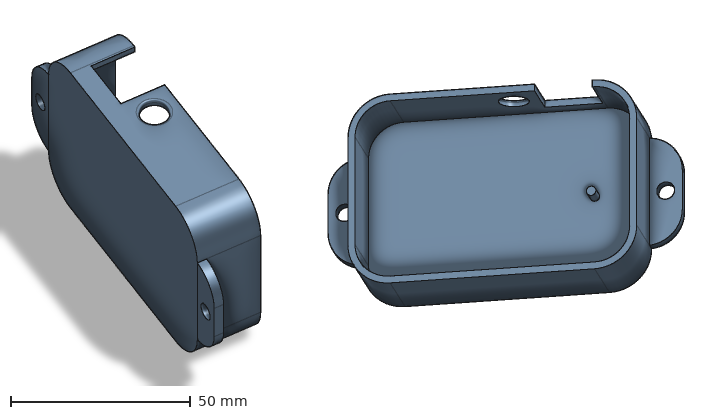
import cadquery as cq

TOTAL_LENGTH = 100.8
HOUSING_LENGTH = 82.1
HOUSING_HEIGHT = 55.7
HOUSING_DEPTH = 20.5
CORNER_RADIUS = 12.0
WALL = 2.0
FLOOR = 2.0

NOTCH_LEFT = -28.4
NOTCH_WIDTH = 16.4
NOTCH_FLOOR_Y = 6.3

PORT_X = -4.5
PORT_Y = 12.8
PORT_DIAMETER = 8.6
PORT_RIM_RADIUS = 0.8

POST_X = -25.3
POST_Z = 0.0
POST_DIAMETER = 2.7
POST_TOP_Y = 7.1

EAR_HEIGHT = 31.6
EAR_THICKNESS = 3.0
EAR_RADIUS = 10.0
EAR_HOLE_DIAMETER = 5.0
EAR_HOLE_INSET = 4.7


def block_along_y(length, height, start_y, end_y, radius):
    """Block centred on the Y axis, with its four edges along Y rounded."""
    block = cq.Workplane("XY").box(length, end_y - start_y, height)
    return block.edges("|Y").fillet(radius).translate((0, (start_y + end_y) / 2, 0))


def cylinder_along_y(x, z, diameter, start_y, end_y):
    solid = cq.Solid.makeCylinder(
        diameter / 2, end_y - start_y, cq.Vector(x, start_y, z), cq.Vector(0, 1, 0)
    )
    return cq.Workplane(solid)


def notch_cutter():
    depth = HOUSING_DEPTH - NOTCH_FLOOR_Y
    return cq.Workplane("XY").box(NOTCH_WIDTH, depth, WALL, centered=False).translate(
        (NOTCH_LEFT, NOTCH_FLOOR_Y, HOUSING_HEIGHT / 2 - WALL)
    )


def add_port(housing):
    """Drill the round port down through the top wall and round its outer rim."""
    bore = cq.Solid.makeCylinder(
        PORT_DIAMETER / 2, WALL, cq.Vector(PORT_X, PORT_Y, HOUSING_HEIGHT / 2), cq.Vector(0, 0, -1)
    )
    drilled = housing.cut(cq.Workplane(bore))
    return drilled.faces(">Z").edges("%CIRCLE").fillet(PORT_RIM_RADIUS)


def make_housing():
    outer = block_along_y(HOUSING_LENGTH, HOUSING_HEIGHT, 0, HOUSING_DEPTH, CORNER_RADIUS)
    cavity = block_along_y(
        HOUSING_LENGTH - 2 * WALL,
        HOUSING_HEIGHT - 2 * WALL,
        FLOOR,
        HOUSING_DEPTH,
        CORNER_RADIUS - WALL,
    )
    post = cylinder_along_y(POST_X, POST_Z, POST_DIAMETER, FLOOR, POST_TOP_Y)
    tray = outer.cut(cavity).union(post)
    return add_port(tray.cut(notch_cutter()))


def make_ear(side):
    """Mounting ear on the -X (side = -1) or +X (side = 1) end of the housing."""
    plate = block_along_y(TOTAL_LENGTH, EAR_HEIGHT, 0, EAR_THICKNESS, EAR_RADIUS)
    ear_length = (TOTAL_LENGTH - HOUSING_LENGTH) / 2
    ear_center_x = side * (TOTAL_LENGTH - ear_length) / 2
    ear_zone = (
        cq.Workplane("XY")
        .box(ear_length, EAR_THICKNESS, EAR_HEIGHT)
        .translate((ear_center_x, EAR_THICKNESS / 2, 0))
    )
    hole_x = side * (TOTAL_LENGTH / 2 - EAR_HOLE_INSET)
    hole = cylinder_along_y(hole_x, 0, EAR_HOLE_DIAMETER, 0, EAR_THICKNESS)
    return plate.intersect(ear_zone).cut(hole)


housing = make_housing()
ears = [make_ear(side) for side in (-1, 1)]
result = cq.Compound.makeCompound([housing.val(), *[ear.val() for ear in ears]])